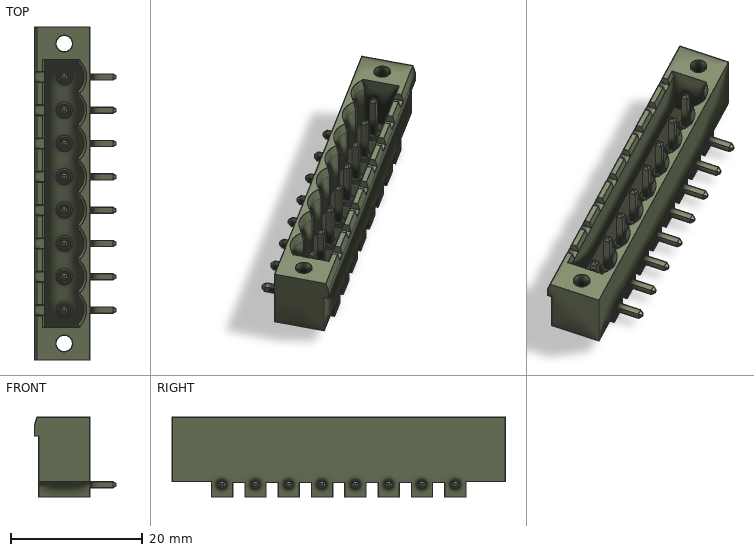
import cadquery as cq


PIN_COUNT = 8
PITCH = 5.1
PIN_X = 4.55
PIN_YS = [(i - (PIN_COUNT - 1) / 2) * PITCH for i in range(PIN_COUNT)]

LENGTH = 50.8
HEIGHT = 12.2
WALL_X = 0.65
BACK_X = 8.5
LIP_HEIGHT = 2.9
LIP_BEVEL_DEPTH = 1.35
LIP_BEVEL_WIDTH = 0.4
END_UNDERSIDE_Z = 2.35

FOOT_WIDTH = 3.25
FOOT_GAP_HEIGHT = 2.2

FLOOR_Z = 3.55
FLARE_DEPTH = 1.5
FRONT_FLARE_DEPTH = 1.0
FLARE_WIDTH = 0.35
CAVITY_FRONT_X = 1.6
CAVITY_BACK_X = 6.6
CAVITY_LENGTH = 40.85
BAY_RADIUS = 3.0
BAY_MOUTH_RADIUS = 3.4

NOTCH_DEPTH = 1.1
NOTCH_TOP_WIDTH = 1.75
NOTCH_FLOOR_WIDTH = 1.45

FLANGE_HOLE_DIAMETER = 2.5
FLANGE_HOLE_Y = PIN_YS[-1] + PITCH

PIN_SIZE = 0.95
PIN_TIP_LENGTH = 0.5
PIN_TIP_SIZE = 0.35
PIN_TOP_Z = 11.1
TAIL_END_X = 12.5
TAIL_Z = 1.9
COLLAR_DIAMETER = 2.5
COLLAR_TOP_DIAMETER = 2.0
COLLAR_HEIGHT = 0.5


def extrude_along_y(points, length):
    """Prism with an XZ outline, centred on Y = 0."""
    return cq.Workplane("XZ").polyline(points).close().extrude(length / 2, both=True)


def make_housing():
    """Block with a bevelled latch lip, standing on one foot per contact."""
    lip_z = HEIGHT - LIP_HEIGHT
    outline = [
        (WALL_X, END_UNDERSIDE_Z),
        (BACK_X, END_UNDERSIDE_Z),
        (BACK_X, HEIGHT),
        (LIP_BEVEL_WIDTH, HEIGHT),
        (0, HEIGHT - LIP_BEVEL_DEPTH),
        (0, lip_z),
        (WALL_X, lip_z),
    ]
    housing = extrude_along_y(outline, LENGTH)

    depth = BACK_X - WALL_X
    foot_row_length = (PIN_COUNT - 1) * PITCH + FOOT_WIDTH
    feet = cq.Workplane().box(depth, foot_row_length, END_UNDERSIDE_Z, centered=(False, True, False))
    gap_width = PITCH - FOOT_WIDTH
    for y in PIN_YS[:-1]:
        gap = cq.Workplane().box(depth, gap_width, FOOT_GAP_HEIGHT, centered=(False, True, False))
        feet = feet.cut(gap.translate((0, y + PITCH / 2, 0)))
    return housing.union(feet.translate((WALL_X, 0, 0)))


def make_cavity():
    """Open trough with a round bay behind each contact, all flaring towards the mouth."""
    flare_z = HEIGHT - FLARE_DEPTH
    trough_outline = [
        (CAVITY_FRONT_X, FLOOR_Z),
        (CAVITY_BACK_X, FLOOR_Z),
        (CAVITY_BACK_X, flare_z),
        (CAVITY_BACK_X + FLARE_WIDTH, HEIGHT),
        (CAVITY_FRONT_X - FLARE_WIDTH, HEIGHT),
        (CAVITY_FRONT_X, HEIGHT - FRONT_FLARE_DEPTH),
    ]
    trough = extrude_along_y(trough_outline, CAVITY_LENGTH)

    bay_profile = [
        (0, FLOOR_Z),
        (BAY_RADIUS, FLOOR_Z),
        (BAY_RADIUS, flare_z),
        (BAY_MOUTH_RADIUS, HEIGHT),
        (0, HEIGHT),
    ]
    bay = cq.Workplane("XZ").polyline(bay_profile).close().revolve(360, (0, 0), (0, 1))
    limit = cq.Workplane().box(BACK_X - PIN_X, CAVITY_LENGTH, HEIGHT, centered=(False, True, False))
    limit = limit.translate((PIN_X, 0, 0))
    for y in PIN_YS:
        trough = trough.union(bay.translate((PIN_X, y, 0)).intersect(limit))
    return trough


def make_notch():
    """Tapered slot across the lip, open into the cavity."""
    floor_z = HEIGHT - NOTCH_DEPTH
    outline = [
        (-NOTCH_FLOOR_WIDTH / 2, floor_z),
        (NOTCH_FLOOR_WIDTH / 2, floor_z),
        (NOTCH_TOP_WIDTH / 2, HEIGHT),
        (-NOTCH_TOP_WIDTH / 2, HEIGHT),
    ]
    return cq.Workplane("YZ").polyline(outline).close().extrude(CAVITY_FRONT_X)


def make_bar(length):
    """Square bar rising from the origin along Z, tapered at its far end."""
    shank_length = length - PIN_TIP_LENGTH
    shank = cq.Workplane().box(PIN_SIZE, PIN_SIZE, shank_length, centered=(True, True, False))
    tip = (
        cq.Workplane()
        .workplane(offset=shank_length)
        .rect(PIN_SIZE, PIN_SIZE)
        .workplane(offset=PIN_TIP_LENGTH)
        .rect(PIN_TIP_SIZE, PIN_TIP_SIZE)
        .loft(ruled=True)
    )
    return shank.union(tip)


def make_contact():
    """Upright pin with a conical collar, and a solder tail leaving through the back."""
    upright = make_bar(PIN_TOP_Z - TAIL_Z).translate((PIN_X, 0, TAIL_Z))
    tail = make_bar(TAIL_END_X - PIN_X).rotate((0, 0, 0), (0, 1, 0), 90).translate((PIN_X, 0, TAIL_Z))
    collar = (
        cq.Workplane()
        .circle(COLLAR_DIAMETER / 2)
        .workplane(offset=COLLAR_HEIGHT)
        .circle(COLLAR_TOP_DIAMETER / 2)
        .loft()
        .translate((PIN_X, 0, FLOOR_Z))
    )
    return upright.union(tail).union(collar)


result = make_housing().cut(make_cavity())

notch = make_notch()
contact = make_contact()
for y in PIN_YS:
    result = result.cut(notch.translate((0, y, 0)))
    result = result.union(contact.translate((0, y, 0)))

flange_hole = cq.Workplane().circle(FLANGE_HOLE_DIAMETER / 2).extrude(HEIGHT)
for y in (-FLANGE_HOLE_Y, FLANGE_HOLE_Y):
    result = result.cut(flange_hole.translate((PIN_X, y, 0)))